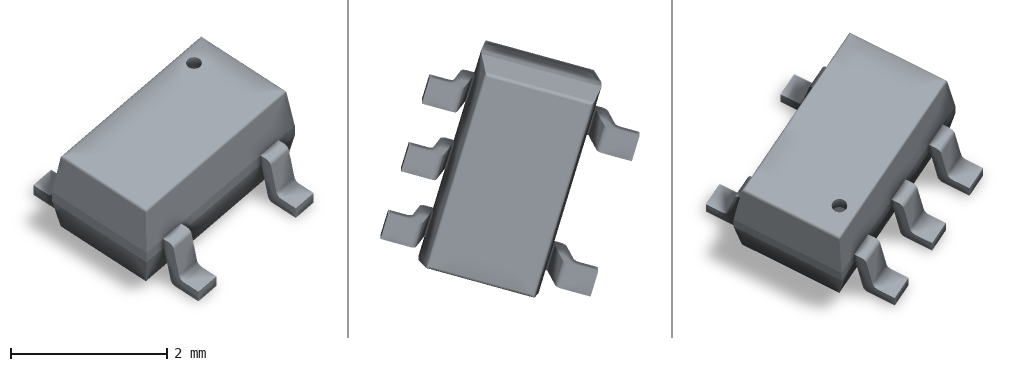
import cadquery as cq

BODY_X = 1.6
BODY_Y = 2.9
TOP_Z = 1.45
STANDOFF = 0.072
DRAFT_INSET = 0.08
EDGE_RADIUS = 0.04

DIMPLE_DIAMETER = 0.2
DIMPLE_DEPTH = 0.2
DIMPLE_X = -0.478

LEAD_SPAN = 2.8
LEAD_WIDTH = 0.35
LEAD_THICKNESS = 0.183
LEAD_PITCH = 0.95
SHOULDER_Z = 0.763
FOOT_LENGTH = 0.313
SHANK_LEAN = 0.122
BEND_RADIUS = 0.085

BAND_TOP = SHOULDER_Z
BAND_BOTTOM = SHOULDER_Z - LEAD_THICKNESS


def drafted_half(start_z, end_z):
    """Frustum from the full outline at start_z to the inset outline at end_z."""
    return (
        cq.Workplane("XY", origin=(0, 0, start_z))
        .rect(BODY_X, BODY_Y)
        .workplane(offset=end_z - start_z)
        .rect(BODY_X - 2 * DRAFT_INSET, BODY_Y - 2 * DRAFT_INSET)
        .loft(ruled=True)
    )


def make_housing():
    """Straight parting band with drafted halves, rounded rims and a dimple."""
    band = (
        cq.Workplane("XY", origin=(0, 0, BAND_BOTTOM))
        .rect(BODY_X, BODY_Y)
        .extrude(LEAD_THICKNESS)
    )
    upper = drafted_half(BAND_TOP, TOP_Z).faces(">Z").edges().fillet(EDGE_RADIUS)
    lower = drafted_half(BAND_BOTTOM, STANDOFF).faces("<Z").edges().fillet(EDGE_RADIUS)
    dimple = (
        cq.Workplane("XY", origin=(DIMPLE_X, LEAD_PITCH, TOP_Z - DIMPLE_DEPTH))
        .circle(DIMPLE_DIAMETER / 2)
        .extrude(DIMPLE_DEPTH)
    )
    return band.union(upper).union(lower).cut(dimple)


def make_lead(side, y):
    """Bent lead centred on y; side is -1 for the -X row and +1 for the +X row."""
    tip_x = -LEAD_SPAN / 2
    root_x = -BODY_X / 2
    foot_corner_x = tip_x + FOOT_LENGTH
    shoulder_corner_x = foot_corner_x + SHANK_LEAN
    shank_slope = SHANK_LEAN / (SHOULDER_Z - LEAD_THICKNESS)
    heel_x = foot_corner_x + LEAD_THICKNESS * (1 - shank_slope)
    inner_corner_x = shoulder_corner_x + LEAD_THICKNESS * (1 - shank_slope)

    lead = (
        cq.Workplane("XZ", origin=(0, y + LEAD_WIDTH / 2, 0))
        .moveTo(tip_x, 0)
        .lineTo(heel_x, 0)
        .lineTo(inner_corner_x, BAND_BOTTOM)
        .lineTo(root_x, BAND_BOTTOM)
        .lineTo(root_x, SHOULDER_Z)
        .lineTo(shoulder_corner_x, SHOULDER_Z)
        .lineTo(foot_corner_x, LEAD_THICKNESS)
        .lineTo(tip_x, LEAD_THICKNESS)
        .close()
        .extrude(LEAD_WIDTH)
    )
    bend_corners = [
        (heel_x, 0),
        (shoulder_corner_x, SHOULDER_Z),
        (foot_corner_x, LEAD_THICKNESS),
    ]
    for x, z in bend_corners:
        lead = lead.edges(cq.NearestToPointSelector((x, y, z))).fillet(BEND_RADIUS)
    return lead if side < 0 else lead.rotate((0, y, 0), (0, y, 1), 180)


housing = make_housing()

lead_rows = [(-1, (-1, 0, 1)), (1, (-1, 1))]
leads = []
for side, positions in lead_rows:
    for position in positions:
        leads.append(make_lead(side, position * LEAD_PITCH))

result = cq.Compound.makeCompound([housing.val(), *[lead.val() for lead in leads]])